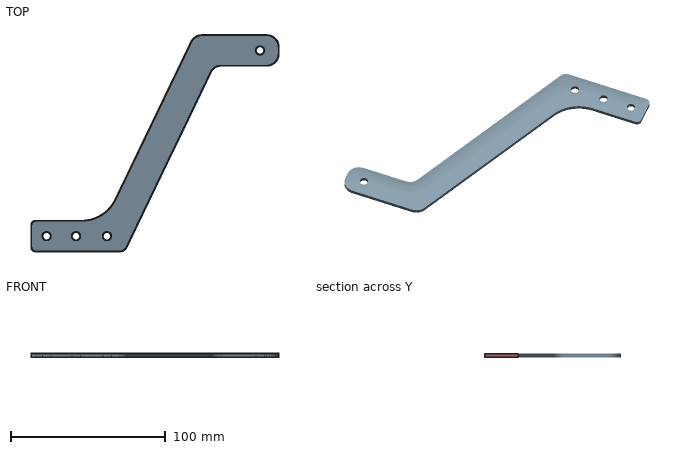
import cadquery as cq
import math

length = 160.0
width = 140.0
thickness = 2.5

band_width = 20.0
arm_angle = math.radians(64.3)
arm_foot_x = 60.3

end_radius_lower = 3.0
end_radius_upper = 8.0
lower_outer_radius = 5.0
lower_inner_radius = 24.0
upper_outer_radius = 8.0
upper_inner_radius = 7.0

hole_diameter = 5.3
lower_hole_xs = (10.0, 29.0, 49.0)
upper_hole_end_distance = 12.2


def right_edge_x(y):
    """X of the arm's right edge at height y."""
    return arm_foot_x + y / math.tan(arm_angle)


def left_edge_x(y):
    """X of the arm's left edge at height y."""
    return right_edge_x(y) - band_width / math.sin(arm_angle)


upper_tab_y = width - band_width

lower_outer = (arm_foot_x, 0)
upper_inner = (right_edge_x(upper_tab_y), upper_tab_y)
upper_outer = (left_edge_x(width), width)
lower_inner = (left_edge_x(band_width), band_width)

plate = (
    cq.Workplane("XY")
    .polyline([
        (0, 0),
        lower_outer,
        upper_inner,
        (length, upper_tab_y),
        (length, width),
        upper_outer,
        lower_inner,
        (0, band_width),
    ])
    .close()
    .extrude(thickness)
)


def round_corner(body, corner, radius):
    """Fillet the vertical edge standing at the given corner."""
    edge = cq.selectors.NearestToPointSelector((*corner, thickness / 2))
    return body.edges("|Z").edges(edge).fillet(radius)


for corner, radius in (
    ((0, 0), end_radius_lower),
    ((0, band_width), end_radius_lower),
    ((length, upper_tab_y), end_radius_upper),
    ((length, width), end_radius_upper),
    (lower_outer, lower_outer_radius),
    (lower_inner, lower_inner_radius),
    (upper_outer, upper_outer_radius),
    (upper_inner, upper_inner_radius),
):
    plate = round_corner(plate, corner, radius)

hole_centres = [(x, band_width / 2) for x in lower_hole_xs]
hole_centres.append((length - upper_hole_end_distance, width - band_width / 2))
holes = (
    cq.Workplane("XY")
    .pushPoints(hole_centres)
    .circle(hole_diameter / 2)
    .extrude(thickness)
)

result = plate.cut(holes)